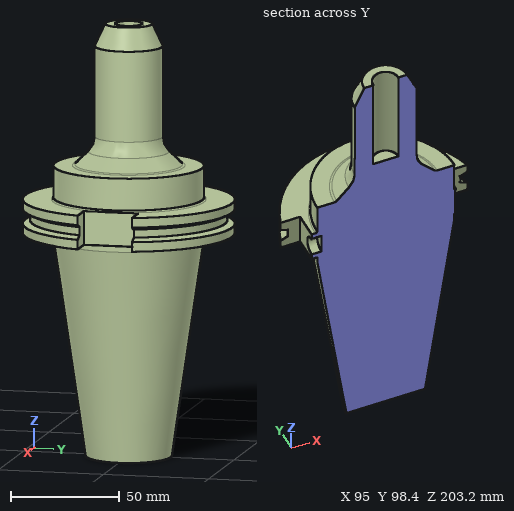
import cadquery as cq
import math


GAUGE_RADIUS = 34.925
TAPER_TOP = 0.3
TAPER_BOTTOM = -101.6
TAPER_RATIO = 7 / 24
TAPER_END_RADIUS = GAUGE_RADIUS - (TAPER_TOP - TAPER_BOTTOM) * TAPER_RATIO / 2

FLANGE_RADIUS = 49.2125
FLANGE_BOTTOM = 3.175
FLANGE_THICKNESS = 15.875
FLANGE_TOP = FLANGE_BOTTOM + FLANGE_THICKNESS
FLANGE_MIDDLE = FLANGE_BOTTOM + FLANGE_THICKNESS / 2
GROOVE_FLOOR_RADIUS = 45.7
GROOVE_FLOOR_WIDTH = 3.8
GROOVE_MOUTH_WIDTH = 6.9

SLOT_WIDTH = 25.9
SLOT_FLOOR_MINUS_X = 37.7
SLOT_FLOOR_PLUS_X = 35.3

SIDE_HOLE_DIAMETER = 9.525
SIDE_HOLE_DEPTH = 5.0

HUB_RADIUS = 34.925
HUB_TOP = 34.925
HUB_FILLET = 0.9

NOSE_TOP = 101.6
STEM_RADIUS = 15.875
TIP_RADIUS = 11.0
TIP_ANGLE = 25.0
TIP_HEIGHT = (STEM_RADIUS - TIP_RADIUS) / math.tan(math.radians(TIP_ANGLE))
FOOT_RADIUS = 25.4
FOOT_ANGLE = 45.0
STEM_FILLET = 10.0
FOOT_FILLET = 1.6

BORE_DIAMETER = 12.7
BORE_DEPTH = 50.0


def fillet_circle(body, radius, height, fillet_radius):
    margin = 0.1
    reach = radius + margin
    corners = (-reach, -reach, height - margin), (reach, reach, height + margin)
    around_circle = cq.selectors.BoxSelector(*corners, boundingbox=True)
    return body.edges(around_circle).edges("%CIRCLE").fillet(fillet_radius)


def make_body():
    foot_height = (FOOT_RADIUS - STEM_RADIUS) * math.tan(math.radians(FOOT_ANGLE))
    half_floor = GROOVE_FLOOR_WIDTH / 2
    half_mouth = GROOVE_MOUTH_WIDTH / 2
    profile = (
        cq.Workplane("XZ")
        .moveTo(0, TAPER_BOTTOM)
        .lineTo(TAPER_END_RADIUS, TAPER_BOTTOM)
        .lineTo(GAUGE_RADIUS, TAPER_TOP)
        .lineTo(GAUGE_RADIUS, FLANGE_BOTTOM)
        .lineTo(FLANGE_RADIUS, FLANGE_BOTTOM)
        .lineTo(FLANGE_RADIUS, FLANGE_MIDDLE - half_mouth)
        .lineTo(GROOVE_FLOOR_RADIUS, FLANGE_MIDDLE - half_floor)
        .lineTo(GROOVE_FLOOR_RADIUS, FLANGE_MIDDLE + half_floor)
        .lineTo(FLANGE_RADIUS, FLANGE_MIDDLE + half_mouth)
        .lineTo(FLANGE_RADIUS, FLANGE_TOP)
        .lineTo(HUB_RADIUS, FLANGE_TOP)
        .lineTo(HUB_RADIUS, HUB_TOP)
        .lineTo(FOOT_RADIUS, HUB_TOP)
        .lineTo(STEM_RADIUS, HUB_TOP + foot_height)
        .lineTo(STEM_RADIUS, NOSE_TOP - TIP_HEIGHT)
        .lineTo(TIP_RADIUS, NOSE_TOP)
        .lineTo(0, NOSE_TOP)
        .close()
    )
    body = profile.revolve(360, (0, 0, 0), (0, 1, 0))
    body = fillet_circle(body, STEM_RADIUS, HUB_TOP + foot_height, STEM_FILLET)
    body = fillet_circle(body, FOOT_RADIUS, HUB_TOP, FOOT_FILLET)
    return fillet_circle(body, HUB_RADIUS, FLANGE_TOP, HUB_FILLET)


def make_slot(side, floor_distance):
    length = FLANGE_RADIUS - floor_distance
    center = (side * (floor_distance + length / 2), 0, FLANGE_MIDDLE)
    return cq.Workplane("XY").box(length, SLOT_WIDTH, FLANGE_THICKNESS).translate(center)


def make_side_hole():
    return (
        cq.Workplane("YZ", origin=(-SLOT_FLOOR_MINUS_X, 0, FLANGE_MIDDLE))
        .circle(SIDE_HOLE_DIAMETER / 2)
        .extrude(SIDE_HOLE_DEPTH)
    )


def make_bore():
    return (
        cq.Workplane("XY", origin=(0, 0, NOSE_TOP - BORE_DEPTH))
        .circle(BORE_DIAMETER / 2)
        .extrude(BORE_DEPTH)
    )


result = (
    make_body()
    .cut(make_slot(-1, SLOT_FLOOR_MINUS_X))
    .cut(make_slot(1, SLOT_FLOOR_PLUS_X))
    .cut(make_side_hole())
    .cut(make_bore())
)